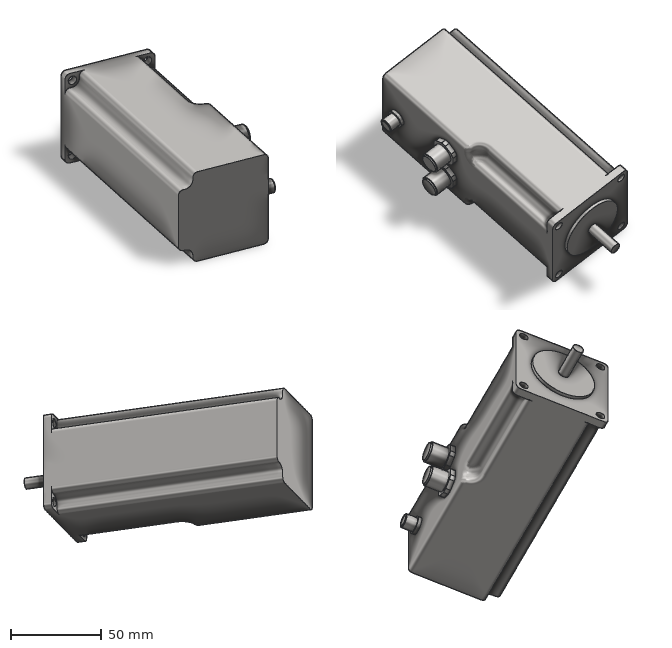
import cadquery as cq
import math

total_length = 158.6
frame_size = 56.5
half_frame = frame_size / 2
corner_radius = 3.0

shaft_diameter = 6.3
pilot_diameter = 38
pilot_start = 18.7
flange_start = 20.6
flange_end = 25.4
hole_diameter = 5.0
hole_pitch = 47.1

groove_depth = 9.0
groove_lip = 4.3
hollow_radius = groove_depth - groove_lip

bend_start = 82.3
bend_wall_radius = 7.0
bend_axis_inset = groove_depth - bend_wall_radius

power_x = 106.1
power_spacing = 23.0
power_sizes = {
    "nut_flats": 15.5,
    "nut_diameter": 16.5,
    "nut_height": 3.0,
    "plug_diameter": 12.0,
    "plug_height": 13.0,
    "tip_diameter": 10.5,
    "tip_height": 14.0,
}
signal_x = 146.5
signal_nut_turn = 30
signal_sizes = {
    "nut_flats": 10.2,
    "nut_diameter": 10.5,
    "nut_height": 2.0,
    "plug_diameter": 8.2,
    "plug_height": 8.5,
    "tip_diameter": 7.0,
    "tip_height": 9.0,
}
root_depth = 1.6


def cylinder_along_x(diameter, start, end):
    return cq.Workplane("YZ", origin=(start, 0, 0)).circle(diameter / 2).extrude(end - start)


def square_prism(start, end):
    return cq.Workplane("YZ", origin=(start, 0, 0)).rect(frame_size, frame_size).extrude(end - start)


def groove_section(plane, wall, far_side):
    """Groove profile below the top face, from its upright wall across to far_side.

    A concave quarter round joins the upright wall to the flat floor.
    """
    floor = half_frame - groove_depth
    lip = half_frame - groove_lip
    across = math.copysign(hollow_radius, far_side - wall)
    bulge = 1 - math.sqrt(0.5)
    return (
        plane.moveTo(wall, half_frame)
        .lineTo(wall, lip)
        .threePointArc(
            (wall + across * bulge, floor + hollow_radius * bulge),
            (wall + across, floor),
        )
        .lineTo(far_side, floor)
        .lineTo(far_side, half_frame)
        .close()
    )


def straight_groove(end):
    """Groove cutter along the +Y +Z corner, from the back of the flange."""
    plane = cq.Workplane("YZ", origin=(flange_end, 0, 0))
    return groove_section(plane, half_frame - groove_depth, half_frame).extrude(end - flange_end)


def groove_bend():
    """Quarter turn about an axis along Z, then straight out through the +Y face."""
    plane = cq.Workplane("XZ", origin=(bend_start, half_frame - bend_axis_inset, 0))
    turn = groove_section(plane, bend_wall_radius, 0).revolve(90, (0, 1.6), (0, 0))
    exit_run = groove_section(plane, bend_wall_radius, 0).extrude(-bend_axis_inset)
    return turn.union(exit_run)


def housing():
    """Square prism with four corner grooves; all edges of its sides are rounded."""
    block = square_prism(flange_end, total_length)
    long_groove = straight_groove(total_length).mirror("XZ")
    short_groove = straight_groove(bend_start).union(groove_bend())
    for groove in (long_groove, short_groove):
        block = block.cut(groove).cut(groove.mirror("XY"))
    sides = block.faces("<Y or >Y or <Z or >Z")
    return sides.edges("not (<X or >X)").fillet(corner_radius)


def flange():
    """Front plate with rounded corners and four mounting holes."""
    plate = square_prism(flange_start, flange_end).edges("|X").fillet(corner_radius)
    holes = (
        cq.Workplane("YZ", origin=(flange_start, 0, 0))
        .rect(hole_pitch, hole_pitch, forConstruction=True)
        .vertices()
        .circle(hole_diameter / 2)
        .extrude(flange_end - flange_start)
    )
    return plate.cut(holes)


def connector(x, z, sizes, nut_turn=0):
    """Hex nut with turned corners, a round plug and a narrower tip, on the +Y face."""
    base = cq.Workplane("XZ", origin=(x, half_frame - root_depth, z))

    def post(part):
        height = sizes[part + "_height"] + root_depth
        return base.circle(sizes[part + "_diameter"] / 2).extrude(-height)

    hexagon = (
        base.transformed(rotate=(0, 0, nut_turn))
        .polygon(6, sizes["nut_flats"], circumscribed=True)
        .extrude(-(sizes["nut_height"] + root_depth))
    )
    return hexagon.intersect(post("nut")).union(post("plug")).union(post("tip"))


motor = housing().union(flange())
motor = motor.union(cylinder_along_x(pilot_diameter, pilot_start, flange_start))
motor = motor.union(cylinder_along_x(shaft_diameter, 0, pilot_start))
for side in (-1, 1):
    motor = motor.union(connector(power_x, side * power_spacing / 2, power_sizes))
motor = motor.union(connector(signal_x, 0, signal_sizes, signal_nut_turn))

result = motor